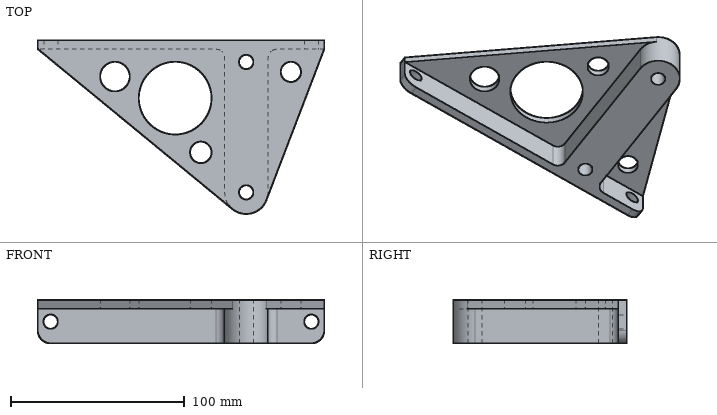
import cadquery as cq
import math

length = 165.0
height = 25.0
depth = 100.0
thickness = 5.0

post_radius = 12.5
post_x = 120.0
post_y = post_radius - depth
rib_fillet = 5.0

bolt_diameter = 8.1
wall_bolt_inset = 7.5
wall_corner_radius = 7.5
rib_bolt_y = -12.5

plate_openings = [
    (44.5, -20.9, 16.89),
    (79.15, -33.3, 41.72),
    (93.9, -64.5, 12.26),
    (145.7, -18.2, 11.49),
]


def post_tangent_point(corner_x, corner_y, side):
    """Point where a line from the corner touches the post; side -1 is left, +1 is right."""
    dx = corner_x - post_x
    dy = corner_y - post_y
    angle_to_corner = math.atan2(dy, dx)
    half_angle = math.acos(post_radius / math.hypot(dx, dy))
    angle = angle_to_corner - side * half_angle
    return (
        post_x + post_radius * math.cos(angle),
        post_y + post_radius * math.sin(angle),
    )


def make_top_plate():
    """Triangular plate whose slanted edges run tangent into the round tip."""
    left_tangent = post_tangent_point(0, -thickness, -1)
    right_tangent = post_tangent_point(length, -thickness, 1)
    return (
        cq.Workplane("XY", origin=(0, 0, height - thickness))
        .moveTo(0, 0)
        .lineTo(0, -thickness)
        .lineTo(*left_tangent)
        .threePointArc((post_x, -depth), right_tangent)
        .lineTo(length, -thickness)
        .lineTo(length, 0)
        .close()
        .extrude(thickness)
    )


def make_back_wall():
    """Upright wall along the back with rounded lower corners and a bolt hole at each end."""
    wall = (
        cq.Workplane("XY")
        .box(length, thickness, height, centered=False)
        .translate((0, -thickness, 0))
        .edges("|Y and <Z")
        .fillet(wall_corner_radius)
    )
    holes = (
        cq.Workplane("XZ")
        .pushPoints([(wall_bolt_inset, height / 2), (length - wall_bolt_inset, height / 2)])
        .circle(bolt_diameter / 2)
        .extrude(thickness)
    )
    return wall.cut(holes)


def make_rib():
    """Full-height rib ending in the round post, flared by fillets where it meets the wall."""
    left = post_x - post_radius
    right = post_x + post_radius
    flare_y = -thickness - rib_fillet
    return (
        cq.Workplane("XY")
        .moveTo(left - rib_fillet, -thickness)
        .radiusArc((left, flare_y), rib_fillet)
        .lineTo(left, post_y)
        .threePointArc((post_x, -depth), (right, post_y))
        .lineTo(right, flare_y)
        .radiusArc((right + rib_fillet, -thickness), rib_fillet)
        .close()
        .extrude(height)
    )


def vertical_hole(x, y, diameter):
    """Cylinder spanning the full height, used as a cutter."""
    return cq.Workplane("XY").center(x, y).circle(diameter / 2).extrude(height)


result = make_back_wall().union(make_rib()).union(make_top_plate())

for bolt_y in (rib_bolt_y, post_y):
    result = result.cut(vertical_hole(post_x, bolt_y, bolt_diameter))

for opening_x, opening_y, opening_diameter in plate_openings:
    result = result.cut(vertical_hole(opening_x, opening_y, opening_diameter))